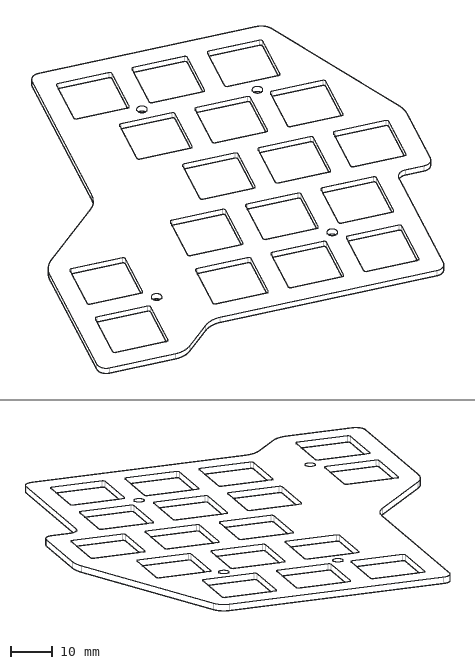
import cadquery as cq

plate_length = 109.9
plate_thickness = 1.6
edge_offset = 12.1
pitches_across = 4.5
pitches_down = 4.0
key_opening = 14.0
opening_corner_radius = 0.5
screw_hole_diameter = 2.5

square_corner_radius = 2.4
shoulder_radius = 3.7
upper_slope_radius = 8.0
right_slope_radius = 6.0
lower_slope_radius = 7.3

pitch = (plate_length - 2 * edge_offset) / pitches_across
plate_width = pitches_down * pitch + 2 * edge_offset

keys_per_column = 3
column_start_rows = [1.0, 0.5, 0.0, 0.5, 0.5]
thumb_columns = [3.5, 4.5]


def grid_x(column):
    return edge_offset + column * pitch


def grid_y(row):
    return plate_width - edge_offset - row * pitch


key_centers = [
    (grid_x(column), grid_y(start_row + key))
    for column, start_row in enumerate(column_start_rows)
    for key in range(keys_per_column)
]
key_centers += [(grid_x(column), grid_y(pitches_down)) for column in thumb_columns]

upper_left_hole_shift = 10.4
lower_left_hole_shift = 8.6
screw_centers = [
    (grid_x(0) + upper_left_hole_shift, grid_y(1)),
    (grid_x(0) + lower_left_hole_shift, grid_y(2.5)),
    (grid_x(3.5), grid_y(1)),
    (grid_x(4), grid_y(3.5)),
]

step_x = grid_x(2) + edge_offset
main_right_x = grid_x(4) + edge_offset
right_top_y = grid_y(0.5) + edge_offset
left_bottom_y = grid_y(3) - edge_offset

outline_corners = [
    ((0, left_bottom_y), square_corner_radius),
    ((grid_x(2), left_bottom_y), lower_slope_radius),
    ((grid_x(3), 0), lower_slope_radius),
    ((plate_length, 0), square_corner_radius),
    ((plate_length, grid_y(3.5)), right_slope_radius),
    ((main_right_x, grid_y(3)), right_slope_radius),
    ((main_right_x, right_top_y), square_corner_radius),
    ((step_x, right_top_y), square_corner_radius),
    ((step_x, plate_width), square_corner_radius),
    ((grid_x(1.5), plate_width), upper_slope_radius),
    ((0, grid_y(0.5)), shoulder_radius),
]


def make_plate():
    points = [point for point, _ in outline_corners]
    plate = cq.Workplane("XY").polyline(points).close().extrude(plate_thickness)
    for (x, y), radius in outline_corners:
        corner_edge = cq.selectors.NearestToPointSelector((x, y, plate_thickness / 2))
        plate = plate.edges("|Z").edges(corner_edge).fillet(radius)
    return plate


def make_key_openings():
    return (
        cq.Workplane("XY")
        .pushPoints(key_centers)
        .rect(key_opening, key_opening)
        .extrude(plate_thickness)
        .edges("|Z")
        .fillet(opening_corner_radius)
    )


def make_screw_holes():
    return (
        cq.Workplane("XY")
        .pushPoints(screw_centers)
        .circle(screw_hole_diameter / 2)
        .extrude(plate_thickness)
    )


result = make_plate().cut(make_key_openings()).cut(make_screw_holes())